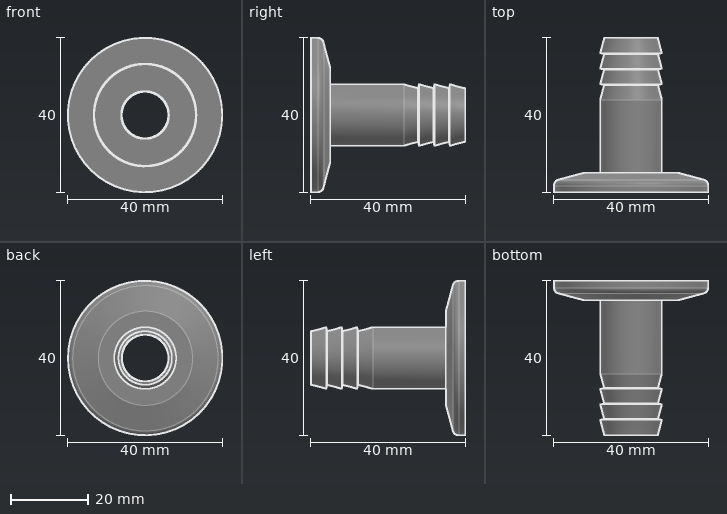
import cadquery as cq
import math

total_length = 40.0
flange_radius = 20.0
flange_thickness = 5.1
taper_angle = math.radians(15)
taper_top_radius = 12.2
shoulder_radius = 1.6

tube_radius = 8.0
bore_radius = 6.0
barb_count = 4
barb_pitch = 4.0

recess_radius = 13.1
recess_depth = 2.5

edge_break = 0.2


def revolve_profile(profile):
    """Turn a closed (radius, Y) profile a full circle about the Y axis."""
    return profile.close().revolve(360, (0, 0, 0), (0, 1, 0))


def flange():
    """Clamp flange with a tapered back and a rounded shoulder tangent to rim and taper."""
    arc_center_radius = flange_radius - shoulder_radius
    arc_end_radius = arc_center_radius + shoulder_radius * math.sin(taper_angle)
    arc_end_y = flange_thickness - (arc_end_radius - taper_top_radius) * math.tan(taper_angle)
    arc_center_y = arc_end_y - shoulder_radius * math.cos(taper_angle)
    mid_angle = (math.pi / 2 - taper_angle) / 2
    arc_middle = (
        arc_center_radius + shoulder_radius * math.cos(mid_angle),
        arc_center_y + shoulder_radius * math.sin(mid_angle),
    )
    return revolve_profile(
        cq.Workplane("XY")
        .moveTo(0, 0)
        .lineTo(flange_radius, 0)
        .lineTo(flange_radius, arc_center_y)
        .threePointArc(arc_middle, (arc_end_radius, arc_end_y))
        .lineTo(taper_top_radius, flange_thickness)
        .lineTo(0, flange_thickness)
    )


def stem():
    """Plain tube ending in barbs that narrow toward the hose end, with undersides square to the cones."""
    barbs_start = total_length - barb_count * barb_pitch
    slope = math.tan(taper_angle)
    root_depth = barb_pitch * math.sin(taper_angle) * math.cos(taper_angle)
    root_drop = root_depth * slope
    profile = cq.Workplane("XY").moveTo(0, 0).lineTo(tube_radius, 0)
    for index in range(barb_count):
        barb_start = barbs_start + index * barb_pitch
        if index > 0:
            profile = profile.lineTo(tube_radius - root_depth, barb_start - root_drop)
        profile = profile.lineTo(tube_radius, barb_start)
    tip_radius = tube_radius - barb_pitch * slope
    return revolve_profile(profile.lineTo(tip_radius, total_length).lineTo(0, total_length))


def chamfered_hole(radius, start_y, end_y):
    """Cutter for a round hole along +Y with a 45 degree chamfer at its mouth."""
    return revolve_profile(
        cq.Workplane("XY")
        .moveTo(0, start_y)
        .lineTo(radius + edge_break, start_y)
        .lineTo(radius, start_y + edge_break)
        .lineTo(radius, end_y)
        .lineTo(0, end_y)
    )


result = (
    flange()
    .union(stem())
    .cut(chamfered_hole(recess_radius, 0, recess_depth))
    .cut(chamfered_hole(bore_radius, recess_depth, total_length))
)